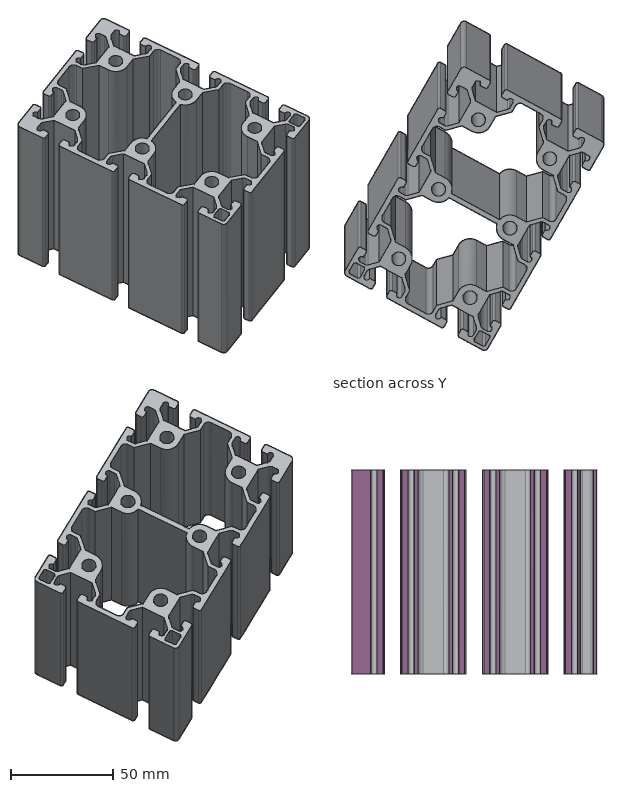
import cadquery as cq
import math

width = 120.0
columns = 3
rows = 2
pitch = width / columns
depth = rows * pitch
length = 2.5 * pitch
corner_radius = 2.0

plate = 2.5
web = 2.5
wall = 1.9
cavity_radius = 2.5

bore_diameter = 6.8
boss_radius = 6.6

mouth_half = 4.0
lip_depth = 4.5
lip_radius = 1.1
chamber_half = 10.5
hook_radius = 1.5
hook_depth = 2.9
chamber_radius = 2.0
floor_half = 6.0
floor_depth = 12.4

hollow_size = 6.2
hollow_inset = 1.8
hollow_radius = 1.1

half_width = width / 2
half_depth = depth / 2
slope_start = floor_depth - (chamber_half - floor_half)
shell_half = chamber_half + wall
slope_offset = wall * math.sqrt(2)
shell_slope_start = floor_depth + floor_half + slope_offset - shell_half
shell_floor_depth = shell_half + shell_slope_start - boss_radius

column_places = [(i - (columns - 1) / 2) * pitch for i in range(columns)]
row_places = [(j - (rows - 1) / 2) * pitch for j in range(rows)]
boss_places = [(x, y) for x in column_places for y in row_places]


def on_every_slot(shape):
    """Copy a shape, modelled at the origin for the +Y face, to all slots of the four sides."""
    copies = cq.Workplane()
    for x in column_places:
        copies = copies.add(shape.translate((x, half_depth, 0)))
        copies = copies.add(shape.rotate((0, 0, 0), (0, 0, 1), 180).translate((x, -half_depth, 0)))
    for y in row_places:
        copies = copies.add(shape.rotate((0, 0, 0), (0, 0, 1), 90).translate((-half_width, y, 0)))
        copies = copies.add(shape.rotate((0, 0, 0), (0, 0, 1), -90).translate((half_width, y, 0)))
    return copies.combine()


def slot_half():
    """Half of one T-slot, from the slot axis towards +X, open at y = 0."""
    hook_inner = chamber_half - 2 * hook_radius
    hook_centre_depth = hook_depth + hook_radius
    tangent = chamber_radius * math.tan(math.radians(45 / 2))
    slope_step = tangent / math.sqrt(2)
    return (
        cq.Workplane("XY")
        .moveTo(0, 0)
        .lineTo(mouth_half + lip_radius, 0)
        .radiusArc((mouth_half, -lip_radius), -lip_radius)
        .lineTo(mouth_half, lip_radius - lip_depth)
        .radiusArc((mouth_half + lip_radius, -lip_depth), -lip_radius)
        .lineTo(hook_inner, -lip_depth)
        .lineTo(hook_inner, -hook_centre_depth)
        .radiusArc((chamber_half, -hook_centre_depth), hook_radius)
        .lineTo(chamber_half, tangent - slope_start)
        .radiusArc((chamber_half - slope_step, -slope_start - slope_step), chamber_radius)
        .lineTo(floor_half, -floor_depth)
        .lineTo(0, -floor_depth)
        .close()
        .extrude(length)
    )


def slot():
    """Full T-slot: the half and its mirror image."""
    half = slot_half()
    return half.union(half.mirror("YZ"))


def slot_shell():
    """Solid zone around one slot: the sloped walls and the block that joins the boss."""
    return (
        cq.Workplane("XY")
        .polyline([
            (-shell_half, 0),
            (shell_half, 0),
            (shell_half, -shell_slope_start),
            (boss_radius, -shell_floor_depth),
            (boss_radius, -pitch / 2),
            (-boss_radius, -pitch / 2),
            (-boss_radius, -shell_floor_depth),
            (-shell_half, -shell_slope_start),
        ])
        .close()
        .extrude(length)
    )


def left_cavity():
    """Hollow on the -X side: the space left over by the plates, web, slot walls and bosses."""
    inner_width = half_width - plate - web / 2
    space = (
        cq.Workplane("XY")
        .rect(inner_width, depth - 2 * plate)
        .extrude(length)
        .translate((-(web + inner_width) / 2, 0, 0))
    )
    bosses = cq.Workplane("XY").pushPoints(boss_places).circle(boss_radius).extrude(length)
    corner_size = pitch / 2
    corners = (
        cq.Workplane("XY")
        .rarray(width - corner_size, depth - corner_size, 2, 2)
        .rect(corner_size, corner_size)
        .extrude(length)
    )
    space = space.cut(on_every_slot(slot_shell())).cut(bosses).cut(corners)
    return space.faces("<X or <Y or >Y").edges("|Z").fillet(cavity_radius)


def corner_hollows():
    """Rounded square holes along the two corners on the +X side."""
    x = half_width - hollow_inset - hollow_size / 2
    y = half_depth - hollow_inset - hollow_size / 2
    return (
        cq.Workplane("XY")
        .pushPoints([(x, -y), (x, y)])
        .rect(hollow_size, hollow_size)
        .extrude(length)
        .edges("|Z")
        .fillet(hollow_radius)
    )


block = cq.Workplane("XY").rect(width, depth).extrude(length).edges("|Z").fillet(corner_radius)
cavity = left_cavity()
bores = cq.Workplane("XY").pushPoints(boss_places).circle(bore_diameter / 2).extrude(length)

result = (
    block
    .cut(on_every_slot(slot()))
    .cut(cavity)
    .cut(cavity.mirror("YZ"))
    .cut(bores)
    .cut(corner_hollows())
)